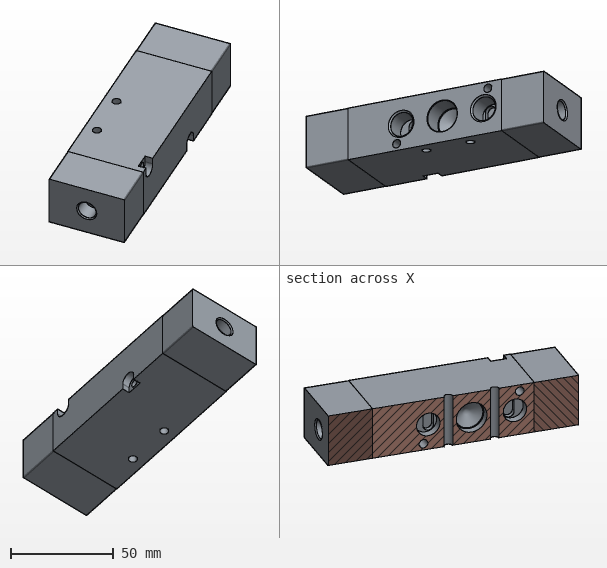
import cadquery as cq
import math

length = 130.0
width = 40.0
height = 27.0
cap_length = 23.0
cap_edge_radius = 0.4
body_length = length - 2 * cap_length

thread_taper = 1 / 16

port_center_y = -9.5
port_pitch = 22.5
main_port_diameter = 16.1
main_port_depth = 10.4
main_port_chamfer = 0.3
main_drill_diameter = 14.4
drill_tip_angle = 118.0
exhaust_port_diameter = 12.4
exhaust_port_depth = 10.8
exhaust_port_chamfer = 0.85

passage_width = 5.5
passage_height = 10.3
passage_offset = 1.5
passage_depth = 2.6

mount_hole_diameter = 4.3
top_hole_x = -13.4
top_hole_pitch = 24.0
side_hole_pitch = 49.9
side_hole_z = 10.0
head_slot_width = 8.2
head_slot_depth = 4.0

pilot_diameter = 9.4
pilot_depth = 8.5
pilot_chamfer = 0.6


def cylinder(base, direction, diameter, depth):
    return cq.Workplane(cq.Solid.makeCylinder(diameter / 2, depth, cq.Vector(*base), cq.Vector(*direction)))


def cone(base, direction, base_diameter, tip_diameter, depth):
    return cq.Workplane(
        cq.Solid.makeCone(base_diameter / 2, tip_diameter / 2, depth, cq.Vector(*base), cq.Vector(*direction))
    )


def tapered_bore(mouth, direction, diameter, depth):
    """Flat-bottomed bore that narrows with the pipe-thread taper."""
    return cone(mouth, direction, diameter, diameter - thread_taper * depth, depth)


def mouth_chamfer(mouth, direction, diameter, size):
    """45 degree countersink that meets a bore of the given mouth diameter."""
    return cone(mouth, direction, diameter + 2 * size, diameter, size)


def main_port():
    """Central tapered port, stepping down at its floor to a conical drill tip."""
    mouth = (-width / 2, port_center_y, 0)
    floor = (-width / 2 + main_port_depth, port_center_y, 0)
    tip_depth = main_drill_diameter / 2 / math.tan(math.radians(drill_tip_angle / 2))
    bore = tapered_bore(mouth, (1, 0, 0), main_port_diameter, main_port_depth)
    chamfer = mouth_chamfer(mouth, (1, 0, 0), main_port_diameter, main_port_chamfer)
    return bore.union(chamfer).union(cone(floor, (1, 0, 0), main_drill_diameter, 0, tip_depth))


def exhaust_port(side):
    """Outer tapered port; its floor has a slotted passage set towards the main port."""
    port_y = port_center_y + side * port_pitch
    mouth = (-width / 2, port_y, 0)
    bore = tapered_bore(mouth, (1, 0, 0), exhaust_port_diameter, exhaust_port_depth)
    chamfer = mouth_chamfer(mouth, (1, 0, 0), exhaust_port_diameter, exhaust_port_chamfer)
    passage = (
        cq.Workplane("YZ", origin=(-width / 2 + exhaust_port_depth, port_y - side * passage_offset, 0))
        .slot2D(passage_height, passage_width, 90)
        .extrude(passage_depth)
    )
    return bore.union(chamfer).union(passage)


def top_hole(side):
    """Vertical mounting hole through the body."""
    hole_y = port_center_y + side * top_hole_pitch / 2
    return cylinder((top_hole_x, hole_y, -height / 2), (0, 0, 1), mount_hole_diameter, height)


def side_hole(side):
    """Cross mounting hole with a round-bottomed screw-head slot open to the nearest Z face."""
    hole_y = port_center_y + side * side_hole_pitch / 2
    hole_z = -side * side_hole_z
    slot_x = width / 2 - head_slot_depth
    open_height = height / 2 - side_hole_z
    hole = cylinder((-width / 2, hole_y, hole_z), (1, 0, 0), mount_hole_diameter, width)
    slot_floor = cylinder((slot_x, hole_y, hole_z), (1, 0, 0), head_slot_width, head_slot_depth)
    slot_walls = cq.Workplane(
        "XY", origin=(slot_x + head_slot_depth / 2, hole_y, hole_z - side * open_height / 2)
    ).box(head_slot_depth, head_slot_width, open_height)
    return hole.union(slot_floor).union(slot_walls)


def make_valve_body():
    body = cq.Workplane("XY").box(width, body_length, height).cut(main_port())
    for side in (-1, 1):
        body = body.cut(exhaust_port(side)).cut(top_hole(side)).cut(side_hole(side))
    return body


def make_end_cap(side):
    """Cap on one end of the body, with rounded long edges and a pilot port in its outer face."""
    cap_y = side * (length - cap_length) / 2
    cap = cq.Workplane("XY", origin=(0, cap_y, 0)).box(width, cap_length, height)
    cap = cap.edges("|Y").fillet(cap_edge_radius)
    mouth = (0, side * length / 2, 0)
    inward = (0, -side, 0)
    pilot = tapered_bore(mouth, inward, pilot_diameter, pilot_depth)
    chamfer = mouth_chamfer(mouth, inward, pilot_diameter, pilot_chamfer)
    return cap.cut(pilot).cut(chamfer)


valve_body = make_valve_body()
end_caps = [make_end_cap(side) for side in (-1, 1)]

result = cq.Compound.makeCompound([valve_body.val(), *[cap.val() for cap in end_caps]])